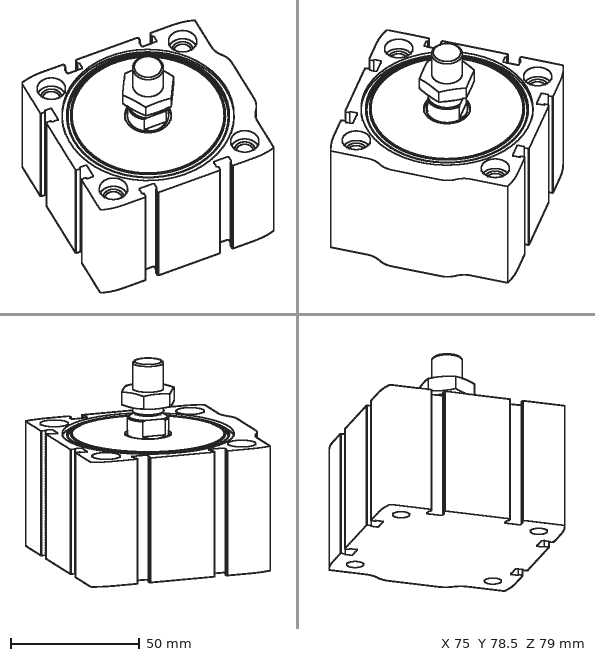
import cadquery as cq
import math

TOTAL_HEIGHT = 79.0
HOUSING_HEIGHT = 50.0

HALF_WIDTH = 37.485
FRONT_DEPTH = 37.5
BACK_DEPTH = 37.2
SIDE_ARC_START = 28.45
SIDE_ARC_RADIUS = 26.85
FRONT_CORNER_RADIUS = 1.0
BUMP_DEPTH = 41.0
BUMP_TOP_HALF = 10.0
BUMP_FOOT_HALF = 21.0

SLOT_OFFSET = 16.0
SLOT_DEPTH = 5.0
SLOT_WIDTH = 6.5
SLOT_LIP = 2.0
SLOT_MOUTH = 5.05
SLOT_FILLET = 0.4
SLOT_MOUTH_CHAMFER = 0.3

MOUNT_OFFSET = 28.3
MOUNT_DIAMETER = 6.6
MOUNT_CHAMFER_DIAMETER = 8.0
COUNTERBORE_DIAMETER = 11.0
COUNTERBORE_DEPTH = 5.0

COVER_FACE_RADIUS = 29.6
COVER_EDGE_RADIUS = 30.2
COVER_EDGE_DROP = 0.2
CRIMP_GAP_RADIUS = 31.2
CRIMP_GAP_DEPTH = 1.2
BORE_RADIUS = 63.0 / 2
RIM_DROP = 0.3
RIM_LAND = 0.2
GROOVE_RADIUS = 67.0 / 2
GROOVE_DEPTH = 1.5

ROD_RADIUS = 16.0 / 2
ROD_SEAT_DEPTH = 2 * ROD_RADIUS
ROD_CHAMFER = 0.5
WIPER_RADIUS = 18.1 / 2
WIPER_DEPTH = 1.35
SHOULDER_HEIGHT = 7.0
FLATS_WIDTH = 13.0
FLATS_BOTTOM = 0.55
FLATS_RUNOUT_DROP = 0.9

THREAD_RADIUS = 12.0 / 2
THREAD_TIP_RADIUS = 10.7 / 2
UNDERCUT_RADIUS = 9.8 / 2
UNDERCUT_FILLET = 0.7
UNDERCUT_CONE_HEIGHT = 0.9
THREAD_START = 9.0

NUT_ACROSS_FLATS = 19.0
NUT_THICKNESS = 6.0
NUT_BOTTOM = 12.0
NUT_CHAMFER_RADIUS = 9.3
NUT_CORNER_DROP = 0.5

MIRRORS = (-1, 1)


def revolved(profile):
    """Revolve an outline of (radius, height) points about the Z axis."""
    return cq.Workplane("XZ").polyline(profile).close().revolve(360, (0, 0, 0), (0, 1, 0))


def housing_block():
    """Extruded outline with curved-in sides and a raised middle on the +Y side."""
    arc_centre_x = HALF_WIDTH - SIDE_ARC_RADIUS

    def side_x(y):
        return arc_centre_x + math.sqrt(SIDE_ARC_RADIUS**2 - (y - SIDE_ARC_START) ** 2)

    def side_mid(depth):
        mid_y = (SIDE_ARC_START + depth) / 2
        return side_x(mid_y), mid_y

    front_x = side_x(FRONT_DEPTH)
    front_mid_x, front_mid_y = side_mid(FRONT_DEPTH)
    back_x = side_x(BACK_DEPTH)
    back_mid_x, back_mid_y = side_mid(BACK_DEPTH)

    flank_x = (BUMP_TOP_HALF + BUMP_FOOT_HALF) / 2
    flank_y = (BACK_DEPTH + BUMP_DEPTH) / 2

    block = (
        cq.Workplane("XY")
        .moveTo(-front_x, -FRONT_DEPTH)
        .lineTo(front_x, -FRONT_DEPTH)
        .threePointArc((front_mid_x, -front_mid_y), (HALF_WIDTH, -SIDE_ARC_START))
        .lineTo(HALF_WIDTH, SIDE_ARC_START)
        .threePointArc((back_mid_x, back_mid_y), (back_x, BACK_DEPTH))
        .lineTo(BUMP_FOOT_HALF, BACK_DEPTH)
        .tangentArcPoint((flank_x, flank_y), relative=False)
        .tangentArcPoint((BUMP_TOP_HALF, BUMP_DEPTH), relative=False)
        .lineTo(-BUMP_TOP_HALF, BUMP_DEPTH)
        .tangentArcPoint((-flank_x, flank_y), relative=False)
        .tangentArcPoint((-BUMP_FOOT_HALF, BACK_DEPTH), relative=False)
        .lineTo(-back_x, BACK_DEPTH)
        .threePointArc((-back_mid_x, back_mid_y), (-HALF_WIDTH, SIDE_ARC_START))
        .lineTo(-HALF_WIDTH, -SIDE_ARC_START)
        .threePointArc((-front_mid_x, -front_mid_y), (-front_x, -FRONT_DEPTH))
        .close()
        .extrude(HOUSING_HEIGHT)
    )
    for side in MIRRORS:
        corner = (side * front_x, -FRONT_DEPTH, HOUSING_HEIGHT / 2)
        corner_edge = cq.selectors.NearestToPointSelector(corner)
        block = block.edges("|Z").edges(corner_edge).fillet(FRONT_CORNER_RADIUS)
    return block


def slot_cutter(face_distance, offset, angle):
    """T-slot along Z, open on the -Y face, then turned about Z to the wanted side."""
    mouth_half = SLOT_MOUTH / 2
    flared_half = mouth_half + SLOT_MOUTH_CHAMFER
    mouth = (
        cq.Workplane("XY")
        .polyline([
            (-flared_half, 0),
            (flared_half, 0),
            (mouth_half, SLOT_MOUTH_CHAMFER),
            (mouth_half, SLOT_LIP),
            (-mouth_half, SLOT_LIP),
            (-mouth_half, SLOT_MOUTH_CHAMFER),
        ])
        .close()
        .extrude(HOUSING_HEIGHT)
    )
    wide_part = (
        cq.Workplane("XY")
        .box(SLOT_WIDTH, SLOT_DEPTH - SLOT_LIP, HOUSING_HEIGHT, centered=(True, False, False))
        .edges("|Z")
        .fillet(SLOT_FILLET)
        .translate((0, SLOT_LIP, 0))
    )
    slot = mouth.union(wide_part).translate((offset, -face_distance, 0))
    return slot.rotate((0, 0, 0), (0, 0, 1), angle)


def mounting_hole_cutter(x, y):
    """Through hole with a chamfered mouth at the bottom of a counterbore."""
    floor = HOUSING_HEIGHT - COUNTERBORE_DEPTH
    hole_radius = MOUNT_DIAMETER / 2
    mouth_radius = MOUNT_CHAMFER_DIAMETER / 2
    profile = [
        (0, 0),
        (hole_radius, 0),
        (hole_radius, floor - (mouth_radius - hole_radius)),
        (mouth_radius, floor),
        (COUNTERBORE_DIAMETER / 2, floor),
        (COUNTERBORE_DIAMETER / 2, HOUSING_HEIGHT),
        (0, HOUSING_HEIGHT),
    ]
    return revolved(profile).translate((x, y, 0))


def crimp_groove_cutter():
    """Ring groove between the cover face and the housing, with the crimped rim in it."""
    top = HOUSING_HEIGHT
    return revolved([
        (COVER_FACE_RADIUS, top),
        (COVER_EDGE_RADIUS, top - COVER_EDGE_DROP),
        (CRIMP_GAP_RADIUS, top - CRIMP_GAP_DEPTH),
        (BORE_RADIUS, top - CRIMP_GAP_DEPTH),
        (BORE_RADIUS, top - RIM_DROP),
        (BORE_RADIUS + RIM_LAND, top - RIM_DROP),
        (GROOVE_RADIUS, top - GROOVE_DEPTH),
        (GROOVE_RADIUS, top),
    ])


def rod_seat_cutter():
    """Blind hole for the rod, with the sloped wiper lip around its mouth."""
    top = HOUSING_HEIGHT
    return revolved([
        (0, top - ROD_SEAT_DEPTH),
        (ROD_RADIUS, top - ROD_SEAT_DEPTH),
        (ROD_RADIUS, top - RIM_DROP),
        (WIPER_RADIUS, top - WIPER_DEPTH),
        (WIPER_RADIUS, top),
        (0, top),
    ])


def make_housing():
    housing = housing_block()
    for side in MIRRORS:
        housing = housing.cut(slot_cutter(FRONT_DEPTH, side * SLOT_OFFSET, 0))
        for angle in (-90, 90):
            housing = housing.cut(slot_cutter(HALF_WIDTH, side * SLOT_OFFSET, angle))
        for end in MIRRORS:
            housing = housing.cut(mounting_hole_cutter(side * MOUNT_OFFSET, end * MOUNT_OFFSET))
    return housing.cut(crimp_groove_cutter()).cut(rod_seat_cutter())


def flat_cutter(side):
    """Material outside one wrench flat, ending in a sloped run-out at the bottom."""
    flat_x = FLATS_WIDTH / 2
    flat_bottom = HOUSING_HEIGHT + FLATS_BOTTOM
    shoulder = HOUSING_HEIGHT + SHOULDER_HEIGHT
    profile = [
        (side * flat_x, flat_bottom),
        (side * ROD_RADIUS, flat_bottom - FLATS_RUNOUT_DROP),
        (side * ROD_RADIUS, shoulder),
        (side * flat_x, shoulder),
    ]
    return cq.Workplane("XZ").polyline(profile).close().extrude(ROD_RADIUS, both=True)


def make_rod():
    """Rod with wrench flats, an undercut and a plain cylindrical end for the thread."""
    shoulder = HOUSING_HEIGHT + SHOULDER_HEIGHT
    thread_start = HOUSING_HEIGHT + THREAD_START
    rod = revolved([
        (0, HOUSING_HEIGHT - ROD_SEAT_DEPTH),
        (ROD_RADIUS, HOUSING_HEIGHT - ROD_SEAT_DEPTH),
        (ROD_RADIUS, shoulder - ROD_CHAMFER),
        (ROD_RADIUS - ROD_CHAMFER, shoulder),
        (UNDERCUT_RADIUS, shoulder),
        (UNDERCUT_RADIUS, thread_start - UNDERCUT_CONE_HEIGHT),
        (THREAD_RADIUS, thread_start),
        (THREAD_RADIUS, TOTAL_HEIGHT - (THREAD_RADIUS - THREAD_TIP_RADIUS)),
        (THREAD_TIP_RADIUS, TOTAL_HEIGHT),
        (0, TOTAL_HEIGHT),
    ])
    undercut_root = cq.selectors.BoxSelector(
        (-THREAD_RADIUS, -THREAD_RADIUS, shoulder - UNDERCUT_FILLET / 2),
        (THREAD_RADIUS, THREAD_RADIUS, shoulder + UNDERCUT_FILLET / 2),
        boundingbox=True,
    )
    rod = rod.edges(undercut_root).fillet(UNDERCUT_FILLET)
    for side in MIRRORS:
        rod = rod.cut(flat_cutter(side))
    return rod


def make_nut():
    """Hexagon nut with its corners chamfered on both faces and two flats facing +X and -X."""
    corner_radius = NUT_ACROSS_FLATS / math.sqrt(3)
    hexagon = (
        cq.Workplane("XY")
        .polygon(6, 2 * corner_radius)
        .extrude(NUT_THICKNESS)
        .rotate((0, 0, 0), (0, 0, 1), 30)
    )
    chamfer_envelope = revolved([
        (THREAD_RADIUS, 0),
        (NUT_CHAMFER_RADIUS, 0),
        (corner_radius, NUT_CORNER_DROP),
        (corner_radius, NUT_THICKNESS - NUT_CORNER_DROP),
        (NUT_CHAMFER_RADIUS, NUT_THICKNESS),
        (THREAD_RADIUS, NUT_THICKNESS),
    ])
    return hexagon.intersect(chamfer_envelope).translate((0, 0, HOUSING_HEIGHT + NUT_BOTTOM))


housing = make_housing()
rod = make_rod()
nut = make_nut()

result = cq.Compound.makeCompound([housing.val(), rod.val(), nut.val()])